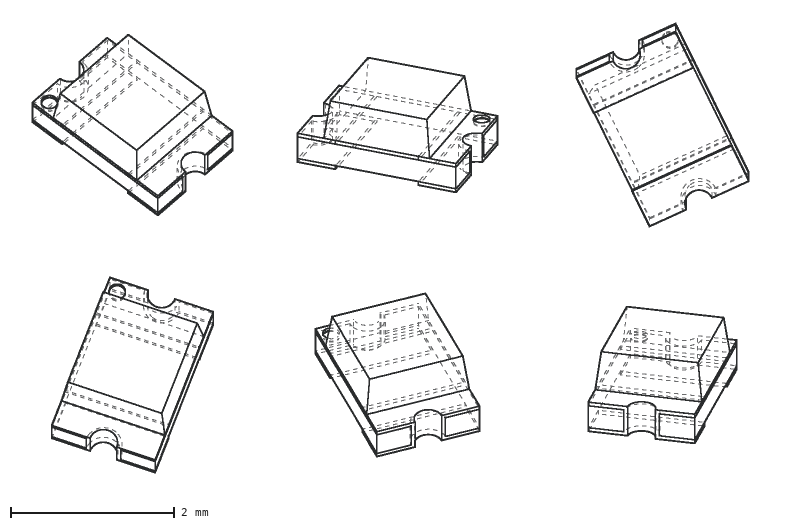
import cadquery as cq

LENGTH = 2.1
WIDTH = 1.35
HEIGHT = 0.9
PLATING = 0.05
BOARD_THICKNESS = 0.3
PAD_LENGTH = 0.5
NOTCH_RADIUS = 0.175
LENS_LENGTH = 1.4
LENS_DRAFT = 7.0
MARK_RADIUS = 0.1
MARK_INSET = 0.15
MARK_THICKNESS = 0.01

board_bottom = PLATING
board_top = board_bottom + BOARD_THICKNESS
base_top = board_top + PLATING
lining_radius = NOTCH_RADIUS + PLATING
strip_length = LENGTH - 2 * PAD_LENGTH


def block(length, width, bottom, top, center_x=0.0):
    """Rectangular block centred on Y = 0 between two heights."""
    return (
        cq.Workplane("XY", origin=(center_x, 0, bottom))
        .rect(length, width)
        .extrude(top - bottom)
    )


def end_cylinder(side, radius):
    """Full-height upright cylinder centred on one end face."""
    return cq.Workplane("XY", origin=(side * LENGTH / 2, 0, 0)).circle(radius).extrude(base_top)


def make_board():
    """Insulating board with clearance for the lined notches."""
    board = block(LENGTH, WIDTH, board_bottom, board_top)
    for side in (-1, 1):
        board = board.cut(end_cylinder(side, lining_radius))
    return board


def make_terminal(side):
    """Upper and lower pads joined by a half-round lining in the end notch."""
    pad_center = side * (LENGTH - PAD_LENGTH) / 2
    envelope = block(PAD_LENGTH, WIDTH, 0, base_top, pad_center)
    lower_pad = block(PAD_LENGTH, WIDTH, 0, board_bottom, pad_center)
    upper_pad = block(PAD_LENGTH, WIDTH, board_top, base_top, pad_center)
    lining = end_cylinder(side, lining_radius).intersect(envelope)
    return lower_pad.union(lining).union(upper_pad).cut(end_cylinder(side, NOTCH_RADIUS))


def mark_cylinder(height):
    """Upright cylinder at the polarity mark, standing on the board."""
    mark_x = -LENGTH / 2 + MARK_INSET
    mark_y = -WIDTH / 2 + MARK_INSET
    return cq.Workplane("XY", origin=(mark_x, mark_y, board_top)).circle(MARK_RADIUS).extrude(height)


def cut_mark_window(terminal):
    """Open a round window through the upper pad, down to the board."""
    return terminal.cut(mark_cylinder(PLATING))


def make_polarity_mark():
    """Thin disc lying on the board inside the window, below the pad surface."""
    return mark_cylinder(MARK_THICKNESS)


def make_strip():
    """Layer that fills the gap between the two upper pads."""
    return block(strip_length, WIDTH, board_top, base_top)


def make_lens():
    """Tapered lens standing on the strip and on the inner ends of the upper pads."""
    return (
        cq.Workplane("XY", origin=(0, 0, base_top))
        .rect(LENS_LENGTH, WIDTH)
        .extrude(HEIGHT - base_top, taper=LENS_DRAFT)
    )


board = make_board()
terminals = []
for end in (-1, 1):
    terminal = make_terminal(end)
    if end == -1:
        terminal = cut_mark_window(terminal)
    terminals.append(terminal.val())
polarity_mark = make_polarity_mark()
strip = make_strip()
lens = make_lens()

result = cq.Compound.makeCompound(
    [board.val(), *terminals, polarity_mark.val(), strip.val(), lens.val()]
)